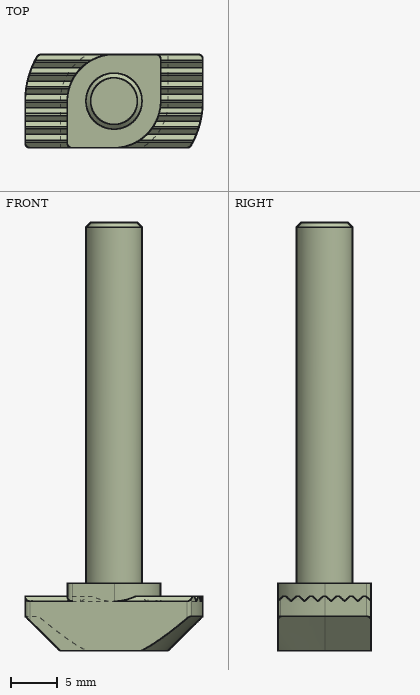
import cadquery as cq

total_height = 45.8
head_length = 19.0
head_width = 10.0
base_length = 11.55
end_wall_bottom = 3.7
crest_height = 5.85
collar_top = 7.25
corner_radius = 0.5
shank_diameter = 6.0
shank_chamfer = 0.5
tooth_count = 7
tooth_depth = 0.55
tooth_crest_width = 0.25
tolerance = 0.005

half_length = head_length / 2
half_width = head_width / 2
half_base = base_length / 2
tooth_pitch = head_width / tooth_count
valley_height = crest_height - tooth_depth


def quarter_turn_prism(half_x, turn_radius, small_radius, bottom, top):
    """Prism with two opposite corners swept by a turning radius, and its sharp corners rounded."""
    height = top - bottom
    block = cq.Workplane("XY").box(2 * half_x, head_width, height, centered=(True, True, False))
    turning = cq.Workplane("XY").circle(turn_radius).extrude(height)
    for side in (1, -1):
        square_quadrant = (
            cq.Workplane("XY")
            .center(side * half_x / 2, side * half_width / 2)
            .rect(half_x, half_width)
            .extrude(height)
        )
        turning = turning.union(square_quadrant)
    prism = block.intersect(turning)
    sharp_corners = prism.edges("|Z").filter(
        lambda edge: abs(edge.Center().y) > half_width - tolerance and abs(edge.Center().x) > tolerance
    )
    prism = sharp_corners.fillet(small_radius)
    return prism.translate((0, 0, bottom))


def make_taper():
    """Envelope of the head ends: flat slopes in two quadrants, conical slopes in the other two."""
    profile = [
        (0, 0),
        (half_base, 0),
        (half_length, end_wall_bottom),
        (half_length, crest_height),
        (0, crest_height),
    ]
    taper = cq.Workplane("XZ").polyline(profile).close().revolve(360, (0, 0), (0, 1))
    flat_quadrant = cq.Workplane("XZ").polyline(profile).close().extrude(-half_width)
    opposite_quadrant = flat_quadrant.rotate((0, 0, 0), (0, 0, 1), 180)
    return taper.union(flat_quadrant).union(opposite_quadrant)


def cut_serrations(head):
    """Cut V grooves along X, with a flat crest centred on each tooth."""
    groove_half_width = (tooth_pitch - tooth_crest_width) / 2
    for index in range(tooth_count + 1):
        valley_y = -half_width + index * tooth_pitch
        groove = (
            cq.Workplane("YZ", origin=(-half_length, 0, 0))
            .moveTo(valley_y - groove_half_width, crest_height)
            .lineTo(valley_y, valley_height)
            .lineTo(valley_y + groove_half_width, crest_height)
            .close()
            .extrude(head_length)
        )
        head = head.cut(groove)
    return head


def make_head():
    outline = quarter_turn_prism(half_length, half_length, corner_radius, 0, crest_height)
    return cut_serrations(outline.intersect(make_taper()))


def make_shank():
    return (
        cq.Workplane("XY", origin=(0, 0, valley_height))
        .circle(shank_diameter / 2)
        .extrude(total_height - valley_height)
        .faces(">Z")
        .chamfer(shank_chamfer)
    )


collar = quarter_turn_prism(half_width, half_width, corner_radius, valley_height, collar_top)
result = make_head().union(collar).union(make_shank())